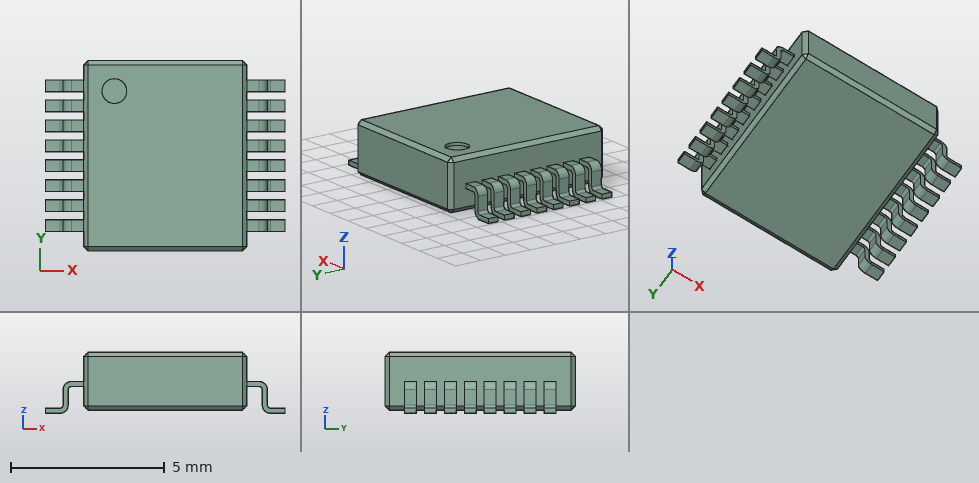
import cadquery as cq

span = 7.8
lead_count = 8
lead_row_length = 4.55
lead_width = 0.39
lead_thickness = 0.17
lead_height = 1.045
shank_inset = 0.58
bend_inner_radius = 0.1
bend_outer_radius = bend_inner_radius + lead_thickness

housing_length = 5.305
housing_width = 6.2
housing_height = 1.895
standoff = 0.1
edge_chamfer = 0.15

marker_diameter = 0.8
marker_inset_x = 1.0
marker_inset_y = 1.0
marker_depth = 0.1
marker_thickness = 0.1

housing_top = standoff + housing_height
marker_x = -housing_length / 2 + marker_inset_x
marker_y = housing_width / 2 - marker_inset_y
marker_top = housing_top - marker_depth
marker_bottom = marker_top - marker_thickness
lead_pitch = lead_row_length / (lead_count - 1)
lead_positions = [(i - (lead_count - 1) / 2) * lead_pitch for i in range(lead_count)]


def make_lead(y):
    """One lead: a strip through the housing, bent into a gull wing foot at both ends."""
    tip = span / 2
    shank_outer = tip - shank_inset
    shank_inner = shank_outer - lead_thickness
    shoulder_underside = lead_height - lead_thickness
    profile = (
        cq.Workplane("XZ", origin=(0, y + lead_width / 2, 0))
        .moveTo(0, lead_height)
        .lineTo(shank_outer - bend_outer_radius, lead_height)
        .radiusArc((shank_outer, lead_height - bend_outer_radius), bend_outer_radius)
        .lineTo(shank_outer, lead_thickness + bend_inner_radius)
        .radiusArc((shank_outer + bend_inner_radius, lead_thickness), -bend_inner_radius)
        .lineTo(tip, lead_thickness)
        .lineTo(tip, 0)
        .lineTo(shank_inner + bend_outer_radius, 0)
        .radiusArc((shank_inner, bend_outer_radius), bend_outer_radius)
        .lineTo(shank_inner, shoulder_underside - bend_inner_radius)
        .radiusArc((shank_inner - bend_inner_radius, shoulder_underside), -bend_inner_radius)
        .lineTo(0, shoulder_underside)
        .mirrorY()
    )
    return profile.extrude(lead_width)


def make_marker_cylinder(bottom, height):
    """Upright cylinder on the axis of the pin 1 marker."""
    base = cq.Workplane("XY", origin=(marker_x, marker_y, bottom))
    return base.circle(marker_diameter / 2).extrude(height)


def make_housing():
    """Chamfered block with a tunnel for each lead and a recess for the marker."""
    block = (
        cq.Workplane("XY", origin=(0, 0, standoff))
        .box(housing_length, housing_width, housing_height, centered=(True, True, False))
        .edges()
        .chamfer(edge_chamfer)
    )
    tunnels = (
        cq.Workplane("XY", origin=(0, 0, lead_height - lead_thickness / 2))
        .pushPoints([(0, y) for y in lead_positions])
        .box(housing_length, lead_width, lead_thickness)
    )
    recess = make_marker_cylinder(marker_bottom, housing_top - marker_bottom)
    return block.cut(tunnels).cut(recess)


housing = make_housing()
leads = [make_lead(y) for y in lead_positions]
marker = make_marker_cylinder(marker_bottom, marker_thickness)

result = cq.Compound.makeCompound([
    housing.val(),
    *[lead.val() for lead in leads],
    marker.val(),
])